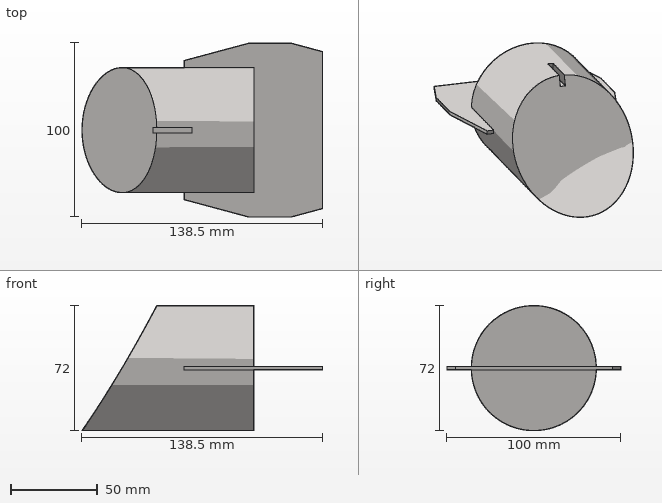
import cadquery as cq
import math

BODY_RADIUS = 36.0
BODY_LENGTH = 98.9

TOP_SETBACK = 43.1
SPHERE_CENTER_X = -137.1

PLATE_THICKNESS = 2.1
PLATE_START_X = 58.7
PLATE_WIDE_START_X = 95.9
PLATE_WIDE_END_X = 120.5
PLATE_END_X = 138.5
PLATE_START_HALF_WIDTH = 40.0
PLATE_HALF_WIDTH = 50.0
PLATE_END_HALF_WIDTH = 45.2

SLOT_WIDTH = 3.0
SLOT_DEPTH = 6.1
SLOT_END_X = 63.3


def make_body():
    return cq.Workplane("YZ").circle(BODY_RADIUS).extrude(BODY_LENGTH)


def make_front_sphere():
    """Sphere through the lowest and highest points of the front rim."""
    bottom_reach = -SPHERE_CENTER_X
    top_reach = TOP_SETBACK - SPHERE_CENTER_X
    center_z = (top_reach**2 - bottom_reach**2) / (4 * BODY_RADIUS)
    radius = math.hypot(bottom_reach, center_z + BODY_RADIUS)
    return cq.Workplane("XY").sphere(radius).translate((SPHERE_CENTER_X, 0, center_z))


def make_slot():
    return (
        cq.Workplane("XY", origin=(0, 0, BODY_RADIUS - SLOT_DEPTH))
        .box(SLOT_END_X, SLOT_WIDTH, SLOT_DEPTH, centered=(False, True, False))
    )


def make_plate():
    upper_edge = [
        (PLATE_START_X, PLATE_START_HALF_WIDTH),
        (PLATE_WIDE_START_X, PLATE_HALF_WIDTH),
        (PLATE_WIDE_END_X, PLATE_HALF_WIDTH),
        (PLATE_END_X, PLATE_END_HALF_WIDTH),
    ]
    lower_edge = [(x, -y) for x, y in reversed(upper_edge)]
    return (
        cq.Workplane("XY")
        .polyline(upper_edge + lower_edge)
        .close()
        .extrude(PLATE_THICKNESS / 2, both=True)
    )


result = make_body().cut(make_front_sphere()).cut(make_slot()).union(make_plate())